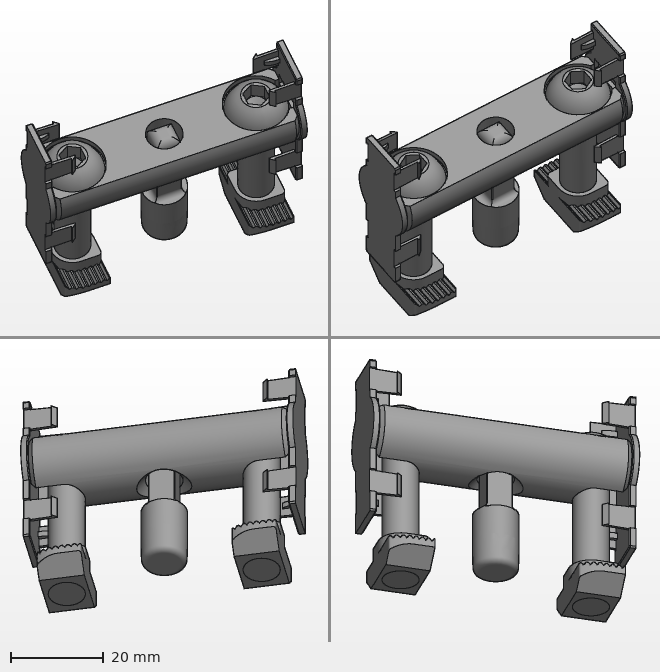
import cadquery as cq
import math

total_length = 59.8

bar_d = 16.75
bar_flat_z = 3.7
bar_chamfer = 1.0
pin_hole_d = 8.1
pin_sink_d = 11.95

screw_y = 21.4
shank_d = 8.0
head_d = 14.0
head_seat_z = 2.3
head_top_z = 6.7
head_dome_r = 7.3
hex_flats = 5.0
hex_depth = 3.9
drill_point_angle = 120.0
screw_clearance_d = 8.1
counterbore_d = 14.6

nut_bottom_z = -34.4
nut_length = 19.0
nut_width = 9.9
nut_flange_h = 5.85
nut_h = 8.85
nut_bottom_chamfer = 3.8
nut_corner_r = 0.6
neck_corner_r = 1.0
groove_count = 7
groove_pitch = 1.405
groove_w = 1.0
groove_depth = 0.6

pin_d = 10.1
pin_square = 5.85
pin_corner_d = 8.0
pin_top_z = 3.6
pin_top_r = 2.0
pin_shoulder_z = -15.4
pin_shoulder_r = 1.3
pin_crown_z = -22.4
pin_crown_drop = 0.1
pin_bottom_z = -29.4
pin_bottom_r = 1.4

cover_thickness = 1.5
cover_width = 11.25
cover_top_z = 15.6
cover_bottom_z = -21.5
cover_corner_w = 0.25
cover_corner_h = 0.4
cover_edge_chamfer = 0.25
recess_width = 8.1
recess_depth = 1.0
recess_top_z = 5.4

clip_heights = (10.95, -14.0)
clip_outer_x = 5.0
clip_thickness = 0.6
clip_reach = 7.3
clip_root_h = 5.5
clip_tip_h = 5.1
hook_length = 1.15
hook_tip_flat = 0.25
rib_h = 1.4
rib_thickness = 0.85
rib_straight = 0.9
rib_length = 3.3
rib_tip_thickness = 0.25

bar_half_length = total_length / 2 - cover_thickness


def cylinder(diameter, z_low, z_high):
    return cq.Workplane("XY").workplane(offset=z_low).circle(diameter / 2).extrude(z_high - z_low)


def make_bar():
    rod = (
        cq.Workplane("XZ")
        .circle(bar_d / 2)
        .extrude(bar_half_length, both=True)
        .edges()
        .chamfer(bar_chamfer)
    )
    above_flat = cq.Workplane("XY").box(
        bar_d, total_length, bar_d, centered=(True, True, False)
    ).translate((0, 0, bar_flat_z))
    bar = rod.cut(above_flat)

    for side in (1, -1):
        seat = cylinder(counterbore_d, head_seat_z, bar_d).translate((0, side * screw_y, 0))
        hole = cylinder(screw_clearance_d, -bar_d, bar_d).translate((0, side * screw_y, 0))
        slot_length = bar_half_length - screw_y
        slot = cq.Workplane("XY").box(screw_clearance_d, slot_length, 2 * bar_d).translate(
            (0, side * (screw_y + slot_length / 2), 0)
        )
        bar = bar.cut(seat).cut(hole).cut(slot)

    sink_r = pin_sink_d / 2
    sink = (
        cq.Workplane("XZ")
        .moveTo(0, -bar_d / 2)
        .lineTo(sink_r, -bar_d / 2)
        .lineTo(0, sink_r - bar_d / 2)
        .close()
        .revolve(360, (0, 0, 0), (0, 1, 0))
    )
    return bar.cut(cylinder(pin_hole_d, -bar_d, bar_d)).cut(sink)


def make_screw(y):
    shank = cylinder(shank_d, nut_bottom_z, head_seat_z)
    dome_centre_z = head_seat_z - math.sqrt(head_dome_r**2 - (head_d / 2) ** 2)
    dome = cq.Workplane("XY").sphere(head_dome_r).translate((0, 0, dome_centre_z))
    head = cylinder(head_d, head_seat_z, head_top_z).intersect(dome)
    socket_floor_z = head_top_z - hex_depth
    socket = (
        cq.Workplane("XY")
        .workplane(offset=socket_floor_z)
        .transformed(rotate=(0, 0, 30))
        .polygon(6, hex_flats, circumscribed=True)
        .extrude(hex_depth)
    )
    drill_r = hex_flats / 2
    drill_depth = drill_r / math.tan(math.radians(drill_point_angle / 2))
    drill_point = (
        cq.Workplane("XZ")
        .moveTo(0, socket_floor_z)
        .lineTo(drill_r, socket_floor_z)
        .lineTo(0, socket_floor_z - drill_depth)
        .close()
        .revolve(360, (0, 0, 0), (0, 1, 0))
    )
    return shank.union(head).cut(socket).cut(drill_point).translate((0, y, 0))


def make_nut(y):
    flange_h = nut_flange_h
    half_length = nut_length / 2
    half_width = nut_width / 2

    def turning_block(length, height):
        half = length / 2
        block = cq.Workplane("XY").box(length, nut_width, height, centered=(True, True, False))
        disc = cq.Workplane("XY").circle(half).extrude(height)
        corner = cq.Workplane("XY").rect(half, half_width, centered=False).extrude(height)
        opposite = corner.rotate((0, 0, 0), (0, 0, 1), 180)
        return block.intersect(disc.union(corner).union(opposite))

    flat_half = half_length - nut_bottom_chamfer
    wing_profile = (
        cq.Workplane("XZ")
        .moveTo(-flat_half, 0)
        .lineTo(flat_half, 0)
        .lineTo(half_length, nut_bottom_chamfer)
        .lineTo(half_length, flange_h)
        .lineTo(-half_length, flange_h)
        .lineTo(-half_length, nut_bottom_chamfer)
        .close()
        .extrude(half_width, both=True)
    )
    flange = turning_block(nut_length, flange_h)
    long_corners = cq.selectors.BoxSelector((-half_length, -nut_width, -0.6), (half_length, nut_width, nut_h))
    flange = flange.edges("|Z").edges(long_corners).fillet(nut_corner_r).intersect(wing_profile)

    for index in range(groove_count):
        groove_y = (index - (groove_count - 1) / 2) * groove_pitch
        groove = (
            cq.Workplane("YZ")
            .moveTo(groove_y - groove_w / 2, flange_h)
            .lineTo(groove_y, flange_h - groove_depth)
            .lineTo(groove_y + groove_w / 2, flange_h)
            .close()
            .extrude(half_length, both=True)
        )
        flange = flange.cut(groove)

    neck = turning_block(nut_width, nut_h)
    neck = neck.edges("|Z").edges("(<XY) or (>XY)").fillet(neck_corner_r)
    nut = flange.union(neck).cut(cylinder(shank_d, 0, nut_h))
    return nut.translate((0, y, nut_bottom_z))


def make_pin():
    pin_r = pin_d / 2
    end_r = pin_r - pin_crown_drop
    arc_part = math.sqrt(0.5)
    bottom_mid = pin_bottom_r * (1 - arc_part)
    body = (
        cq.Workplane("XZ")
        .moveTo(0, pin_top_z)
        .lineTo(pin_r, pin_top_z)
        .lineTo(pin_r, pin_crown_z)
        .tangentArcPoint((end_r, pin_bottom_z + pin_bottom_r), relative=False)
        .threePointArc(
            (end_r - bottom_mid, pin_bottom_z + bottom_mid),
            (end_r - pin_bottom_r, pin_bottom_z),
        )
        .lineTo(0, pin_bottom_z)
        .close()
        .revolve(360, (0, 0, 0), (0, 1, 0))
    )
    half = pin_square / 2
    top_mid = pin_top_r * (1 - arc_part)
    shoulder_mid = pin_shoulder_r * (1 - arc_part)

    def milled(plane):
        return (
            cq.Workplane(plane)
            .moveTo(pin_d, pin_bottom_z)
            .lineTo(pin_d, pin_shoulder_z)
            .lineTo(half + pin_shoulder_r, pin_shoulder_z)
            .threePointArc(
                (half + shoulder_mid, pin_shoulder_z + shoulder_mid),
                (half, pin_shoulder_z + pin_shoulder_r),
            )
            .lineTo(half, pin_top_z - pin_top_r)
            .threePointArc((half - top_mid, pin_top_z - top_mid), (half - pin_top_r, pin_top_z))
            .lineTo(0, pin_top_z)
            .lineTo(0, pin_bottom_z)
            .close()
            .extrude(pin_d, both=True)
        )

    def both_sides(plane, mirror_plane):
        side = milled(plane)
        return side.union(side.mirror(mirror_plane))

    pin = body.intersect(both_sides("XZ", "YZ")).intersect(both_sides("YZ", "XZ"))
    shaft_limit = cylinder(pin_corner_d, pin_shoulder_z, pin_top_z).union(
        cylinder(2 * pin_d, pin_bottom_z, pin_shoulder_z + pin_shoulder_r)
    )
    return pin.intersect(shaft_limit)


def make_clip():
    """The clip on the +X side of the +Y cover, centred on Z = 0."""
    outer_y = total_length / 2
    inner_y = outer_y - cover_thickness
    tip_y = outer_y - clip_reach
    hook_y = tip_y + hook_length
    clip_inner_x = clip_outer_x - clip_thickness
    hook_x = cover_width / 2
    plan = (
        cq.Workplane("XY")
        .moveTo(clip_inner_x, outer_y)
        .lineTo(clip_inner_x, tip_y)
        .lineTo(clip_inner_x + hook_tip_flat, tip_y)
        .lineTo(hook_x, hook_y)
        .lineTo(clip_outer_x, hook_y)
        .lineTo(clip_outer_x, outer_y)
        .close()
        .extrude(clip_root_h, both=True)
    )
    taper = (
        cq.Workplane("YZ")
        .moveTo(outer_y, -clip_root_h / 2)
        .lineTo(outer_y, clip_root_h / 2)
        .lineTo(tip_y, clip_tip_h / 2)
        .lineTo(tip_y, -clip_tip_h / 2)
        .close()
        .extrude(cover_width)
    )
    rib = (
        cq.Workplane("XY")
        .moveTo(clip_inner_x, inner_y)
        .lineTo(clip_inner_x - rib_thickness, inner_y)
        .lineTo(clip_inner_x - rib_thickness, inner_y - rib_straight)
        .tangentArcPoint((clip_inner_x - rib_tip_thickness, inner_y - rib_length), relative=False)
        .lineTo(clip_inner_x, inner_y - rib_length)
        .close()
        .extrude(rib_h / 2, both=True)
    )
    return plan.intersect(taper).union(rib)


def make_cover(side):
    outer_y = total_length / 2
    inner_y = outer_y - cover_thickness
    half_w = cover_width / 2
    corner_x = half_w - cover_corner_w
    plate = (
        cq.Workplane("XZ", origin=(0, outer_y, 0))
        .moveTo(-corner_x, cover_top_z)
        .lineTo(corner_x, cover_top_z)
        .lineTo(half_w, cover_top_z - cover_corner_h)
        .lineTo(half_w, cover_bottom_z + cover_corner_h)
        .lineTo(corner_x, cover_bottom_z)
        .lineTo(-corner_x, cover_bottom_z)
        .lineTo(-half_w, cover_bottom_z + cover_corner_h)
        .lineTo(-half_w, cover_top_z - cover_corner_h)
        .close()
        .extrude(cover_thickness)
    )
    disc = (
        cq.Workplane("XZ", origin=(0, outer_y, 0)).circle(bar_d / 2).extrude(cover_thickness)
    )
    cover = plate.union(disc).faces("<Y").chamfer(cover_edge_chamfer)

    recess_h = recess_top_z - head_seat_z
    recess = cq.Workplane("XY").box(recess_width, 2 * recess_depth, recess_h)
    cover = cover.cut(recess.translate((0, inner_y, head_seat_z + recess_h / 2)))

    clip = make_clip()
    notch_w = half_w - clip_outer_x
    notch = cq.Workplane("XY").box(notch_w, cover_thickness, clip_root_h).translate(
        (clip_outer_x + notch_w / 2, inner_y + cover_thickness / 2, 0)
    )
    for z in clip_heights:
        right_clip = clip.translate((0, 0, z))
        right_notch = notch.translate((0, 0, z))
        cover = cover.cut(right_notch).cut(right_notch.mirror("YZ"))
        cover = cover.union(right_clip).union(right_clip.mirror("YZ"))
    return cover if side > 0 else cover.mirror("XZ")


bar = make_bar()
pin = make_pin()
screws = [make_screw(side * screw_y) for side in (1, -1)]
nuts = [make_nut(side * screw_y) for side in (1, -1)]
covers = [make_cover(side) for side in (1, -1)]

result = cq.Compound.makeCompound(
    [body.val() for body in [bar, pin, *screws, *nuts, *covers]]
)